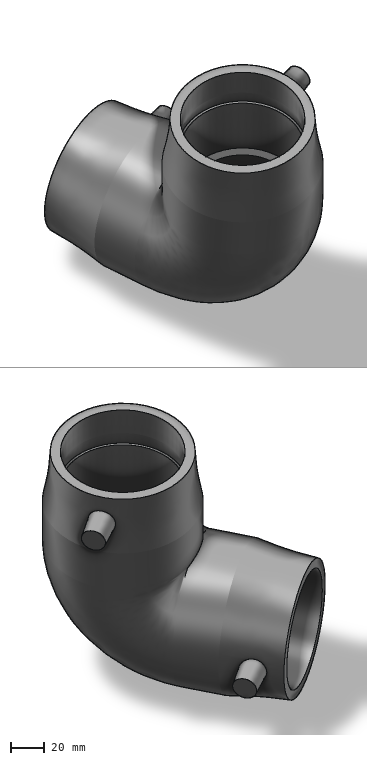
import cadquery as cq

overall_length = 162.8
body_diameter = 97.0
mouth_diameter = 87.5
socket_diameter = 75.0
bend_bore_diameter = 63.8

taper_length = 39.5
bend_depth = 68.7
groove_start_depth = 18.7
groove_end_depth = 28.0
groove_radial_depth = 1.6
taper_bow = 0.8

pin_tip_y = 62.0
pin_root_y = 40.7
pin_tip_diameter = 15.1
pin_root_diameter = 17.8
pin_depth = 19.2

body_radius = body_diameter / 2
mouth_radius = mouth_diameter / 2
socket_radius = socket_diameter / 2
leg_length = overall_length - body_radius
bend_start = leg_length - bend_depth
taper_start = leg_length - taper_length


def on_both_legs(upright):
    """Join a shape on the +Z leg with its turned copy on the -X leg."""
    turned = upright.rotate((0, 0, 0), (0, 1, 0), -90)
    return upright.union(turned)


def leg_body():
    """Solid leg with a slightly concave taper towards its mouth."""
    middle_radius = (body_radius + mouth_radius) / 2 - taper_bow
    middle_height = (taper_start + leg_length) / 2
    return (
        cq.Workplane("XZ")
        .moveTo(0, bend_start)
        .lineTo(body_radius, bend_start)
        .lineTo(body_radius, taper_start)
        .threePointArc((middle_radius, middle_height), (mouth_radius, leg_length))
        .lineTo(0, leg_length)
        .close()
        .revolve(360, (0, 0, 0), (0, 1, 0))
    )


def leg_socket():
    """Socket bore with an undercut groove that flares inward to a square ledge."""
    groove_start = leg_length - groove_start_depth
    groove_end = leg_length - groove_end_depth
    return (
        cq.Workplane("XZ")
        .moveTo(0, bend_start)
        .lineTo(socket_radius, bend_start)
        .lineTo(socket_radius, groove_end)
        .lineTo(socket_radius + groove_radial_depth, groove_end)
        .lineTo(socket_radius, groove_start)
        .lineTo(socket_radius, leg_length)
        .lineTo(0, leg_length)
        .close()
        .revolve(360, (0, 0, 0), (0, 1, 0))
    )


def leg_pin():
    """Tapered terminal pin standing on the +Y side of a leg."""
    pin = cq.Solid.makeCone(
        pin_root_diameter / 2,
        pin_tip_diameter / 2,
        pin_tip_y - pin_root_y,
        pnt=cq.Vector(0, pin_root_y, leg_length - pin_depth),
        dir=cq.Vector(0, 1, 0),
    )
    return cq.Workplane(pin)


def quarter_bend(diameter):
    """Quarter turn of a round section from the +Z leg to the -X leg."""
    radius = diameter / 2
    profile = cq.Sketch().circle(radius)
    if radius > bend_start:
        profile = profile.push([(-bend_start - radius, 0)]).rect(2 * radius, 2 * radius, mode="s")
    section = cq.Workplane("XY", origin=(0, 0, bend_start)).placeSketch(profile)
    return section.revolve(90, (-bend_start, 0, 0), (-bend_start, 1, 0))


outside = on_both_legs(leg_body()).union(quarter_bend(body_diameter)).union(on_both_legs(leg_pin()))
cavity = on_both_legs(leg_socket()).union(quarter_bend(bend_bore_diameter))

result = outside.cut(cavity)